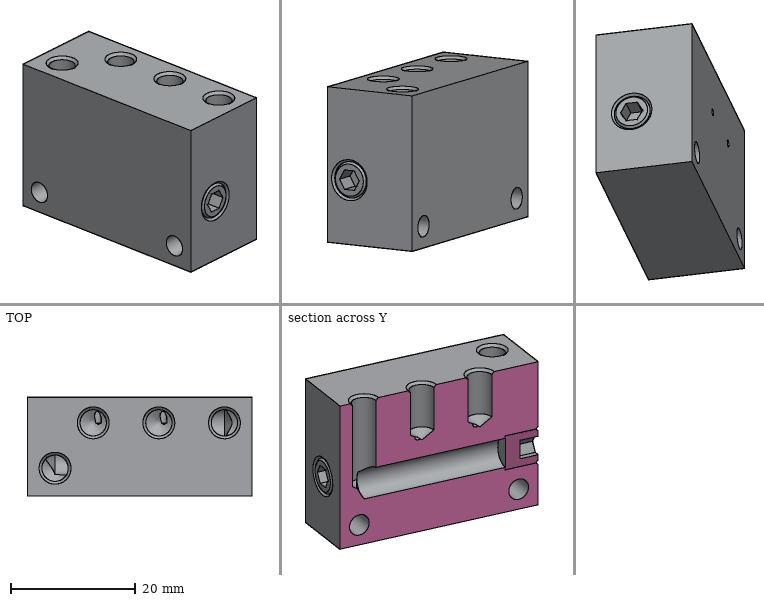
import cadquery as cq
import math

LENGTH = 36.1
WIDTH = 15.88
HEIGHT = 25.4

DRILL_HALF_ANGLE = math.radians(59)

MOUNT_DIAMETER = 3.5
MOUNT_X = 14.5
MOUNT_Z = 3.57

PORT_DIAMETER = 4.22
PORT_MOUTH_DIAMETER = 5.12
PORT_PITCH = 10.55
PRESSURE_PORT_X = 13.6
PORT_ROW_Y = 3.83
EXHAUST_PORT_X = -PRESSURE_PORT_X
EXHAUST_PORT_Y = -3.45
OUTLET_PORT_DEPTH = 7.95
GALLERY_PORT_DEPTH = 14.8
OUTLET_PORT_XS = [PRESSURE_PORT_X - PORT_PITCH * step for step in (1, 2)]

ORIFICE_DIAMETER = 1.1
ORIFICE_OFFSET_X = 0.75
ORIFICE_RISE = 0.65

GALLERY_DIAMETER = 5.05
GALLERY_Z = 10.55
PRESSURE_GALLERY_Y = PORT_ROW_Y
EXHAUST_GALLERY_Y = -2.02

PLUG_DIAMETER = 5.92
PLUG_FACE_DIAMETER = 5.25
PLUG_LENGTH = 6.0
PLUG_MOUTH_DIAMETER = 6.68
HEX_SIDES = 6
SOCKET_ACROSS_FLATS = 3.18
SOCKET_DEPTH = 3.25


def cone_length(diameter):
    """Length of the conical end left by a drill."""
    return diameter / 2 / math.tan(DRILL_HALF_ANGLE)


def drill(start, direction, diameter, depth):
    """Drilled hole: a cylinder of the given depth followed by the drill cone."""
    start = cq.Vector(*start)
    direction = cq.Vector(*direction)
    radius = diameter / 2
    barrel = cq.Solid.makeCylinder(radius, depth, start, direction)
    tip = cq.Solid.makeCone(radius, 0, cone_length(diameter), start + direction * depth, direction)
    return barrel.fuse(tip)


def countersink(start, direction, mouth_diameter, diameter):
    """45 degree countersink from the mouth diameter down to the hole diameter."""
    depth = (mouth_diameter - diameter) / 2
    start = cq.Vector(*start)
    direction = cq.Vector(*direction)
    return cq.Solid.makeCone(mouth_diameter / 2, diameter / 2, depth, start, direction)


def cut_port(block, x, y, depth):
    """Countersunk port drilled down from the top face."""
    mouth = (x, y, HEIGHT)
    down = (0, 0, -1)
    block = block.cut(drill(mouth, down, PORT_DIAMETER, depth))
    return block.cut(countersink(mouth, down, PORT_MOUTH_DIAMETER, PORT_DIAMETER))


def cut_orifice(block, port_x):
    """Orifice from the +Y face, ending at the axis plane of the port row."""
    port_tip_z = HEIGHT - OUTLET_PORT_DEPTH - cone_length(PORT_DIAMETER)
    start = (port_x + ORIFICE_OFFSET_X, WIDTH / 2, port_tip_z + ORIFICE_RISE)
    return block.cut(drill(start, (0, -1, 0), ORIFICE_DIAMETER, WIDTH / 2 - PORT_ROW_Y))


def cut_gallery(block, side, y, end_x):
    """Gallery from the end face on the given side (-1 or 1) to end_x, with its plug seat."""
    mouth = (side * LENGTH / 2, y, GALLERY_Z)
    inward = (-side, 0, 0)
    block = block.cut(drill(mouth, inward, GALLERY_DIAMETER, LENGTH / 2 - side * end_x))
    seat = cq.Solid.makeCylinder(PLUG_DIAMETER / 2, PLUG_LENGTH, cq.Vector(*mouth), cq.Vector(*inward))
    block = block.cut(seat)
    return block.cut(countersink(mouth, inward, PLUG_MOUTH_DIAMETER, PLUG_DIAMETER))


def make_block():
    block = cq.Workplane("XY").box(LENGTH, WIDTH, HEIGHT, centered=(True, True, False))

    mounts = (
        cq.Workplane("XZ")
        .pushPoints([(-MOUNT_X, MOUNT_Z), (MOUNT_X, MOUNT_Z)])
        .circle(MOUNT_DIAMETER / 2)
        .extrude(WIDTH / 2, both=True)
    )
    block = block.cut(mounts)

    block = cut_gallery(block, -1, PRESSURE_GALLERY_Y, PRESSURE_PORT_X)
    block = cut_gallery(block, 1, EXHAUST_GALLERY_Y, EXHAUST_PORT_X)

    block = cut_port(block, PRESSURE_PORT_X, PORT_ROW_Y, GALLERY_PORT_DEPTH)
    block = cut_port(block, EXHAUST_PORT_X, EXHAUST_PORT_Y, GALLERY_PORT_DEPTH)
    for port_x in OUTLET_PORT_XS:
        block = cut_port(block, port_x, PORT_ROW_Y, OUTLET_PORT_DEPTH)
        block = cut_orifice(block, port_x)

    return block


def make_plug(side, y):
    """Plug set flush into the end face on the given side, its socket facing outward."""
    face_plane = cq.Plane(
        origin=(side * LENGTH / 2, y, GALLERY_Z),
        xDir=(0, 1, 0),
        normal=(side, 0, 0),
    )
    face = cq.Workplane(face_plane)
    body = face.circle(PLUG_DIAMETER / 2).extrude(-PLUG_LENGTH)
    outer_face = ">X" if side > 0 else "<X"
    body = body.faces(outer_face).chamfer((PLUG_DIAMETER - PLUG_FACE_DIAMETER) / 2)
    across_corners = SOCKET_ACROSS_FLATS / math.cos(math.pi / HEX_SIDES)
    socket = face.polygon(HEX_SIDES, across_corners).extrude(-SOCKET_DEPTH)
    return body.cut(socket)


block = make_block()

plug_places = [(-1, PRESSURE_GALLERY_Y), (1, EXHAUST_GALLERY_Y)]
plugs = [make_plug(side, y).val() for side, y in plug_places]

result = cq.Compound.makeCompound([block.val(), *plugs])